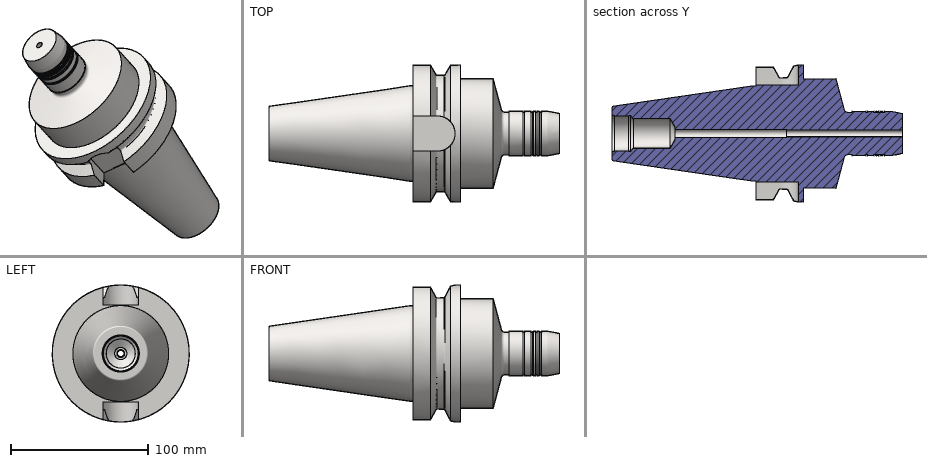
import cadquery as cq
import math

total_length = 211.8
taper_length = 103.0
taper_slope = 7 / 48
gauge_radius = 35.0
small_end_radius = gauge_radius - taper_length * taper_slope
small_end_fillet = 1.0

flange_start = 104.8
flange_end = 139.8
flange_radius = 50.0
groove_floor_radius = 42.5
groove_start = 117.8
groove_end = 132.4
groove_wall_angle = math.radians(60)
groove_wall_run = (flange_radius - groove_floor_radius) / math.tan(groove_wall_angle)
groove_fillet = 0.8
groove_fillet_tangent = groove_fillet * math.tan(groove_wall_angle / 2)
groove_fillet_run = groove_fillet_tangent * math.cos(groove_wall_angle)
groove_fillet_top_radius = groove_floor_radius + groove_fillet_tangent * math.sin(groove_wall_angle)

slot_width = 25.6
slot_floor_height = 35.4
slot_arc_center = 122.8

shank_radius = 16.3
neck_radius = 15.7
neck_start = 171.8
land_start = 175.0
relief_start = 185.1
relief_end = 186.4
ring_seat_start = 190.8
ring_seat_end = 198.7
tip_start = 203.1
tip_radius = 14.6
tip_middle_radius = 15.57

nose_radius = 40.0
nose_cone_angle = math.radians(75)
neck_fillet = 2.3
nose_cone_end = neck_start - neck_fillet * math.sin(nose_cone_angle)
nose_cone_end_radius = neck_radius + neck_fillet * (1 - math.cos(nose_cone_angle))
nose_cone_start = nose_cone_end - (nose_radius - nose_cone_end_radius) / math.tan(nose_cone_angle)

ring_gap = 1.3
ring_chamfer_length = 0.6
ring_chamfer_depth = 0.5
ring_seat_middle = (ring_seat_start + ring_seat_end) / 2

bore_mouth_radius = 13.5
bore_mouth_chamfer = 1.7
bore_radius = 12.7
relief_groove_radius = 13.0
relief_groove_start = 12.0
relief_groove_end = 13.5
thread_radius = 10.5
thread_start = relief_groove_end + bore_radius - thread_radius
thread_end = 42.4
bore_bottom_radius = 4.5
bore_cone_end = thread_end + (thread_radius - bore_bottom_radius) * math.tan(math.radians(30))
channel_radius = 2.85
outlet_radius = 2.3
channel_end = 127.0


def turned(outline):
    """Solid of revolution about the X axis."""
    return outline.close().revolve(360, (0, 0, 0), (1, 0, 0))


def arbor_blank():
    tip_middle = (tip_start + total_length) / 2
    floor_start = groove_start + groove_wall_run
    floor_end = groove_end - groove_wall_run
    outline = (
        cq.Workplane("XZ")
        .lineTo(0, small_end_radius)
        .lineTo(taper_length, gauge_radius)
        .lineTo(flange_start, gauge_radius)
        .lineTo(flange_start, flange_radius)
        .lineTo(groove_start, flange_radius)
        .lineTo(floor_start - groove_fillet_run, groove_fillet_top_radius)
        .tangentArcPoint((floor_start + groove_fillet_tangent, groove_floor_radius), relative=False)
        .lineTo(floor_end - groove_fillet_tangent, groove_floor_radius)
        .tangentArcPoint((floor_end + groove_fillet_run, groove_fillet_top_radius), relative=False)
        .lineTo(groove_end, flange_radius)
        .lineTo(flange_end, flange_radius)
        .lineTo(flange_end, nose_radius)
        .lineTo(nose_cone_start, nose_radius)
        .lineTo(nose_cone_end, nose_cone_end_radius)
        .tangentArcPoint((neck_start, neck_radius), relative=False)
        .lineTo(land_start, neck_radius)
        .lineTo(land_start, shank_radius)
        .lineTo(relief_start, shank_radius)
        .lineTo(relief_start, neck_radius)
        .lineTo(relief_end, neck_radius)
        .lineTo(relief_end, shank_radius)
        .lineTo(ring_seat_start, shank_radius)
        .lineTo(ring_seat_start, neck_radius)
        .lineTo(ring_seat_end, neck_radius)
        .lineTo(ring_seat_end, shank_radius)
        .lineTo(tip_start, shank_radius)
        .threePointArc((tip_middle, tip_middle_radius), (total_length, tip_radius))
        .lineTo(total_length, 0)
    )
    return turned(outline).faces("<X").edges().fillet(small_end_fillet)


def bore_cut():
    outline = (
        cq.Workplane("XZ")
        .lineTo(0, bore_mouth_radius)
        .lineTo(bore_mouth_chamfer, bore_radius)
        .lineTo(relief_groove_start, bore_radius)
        .lineTo(relief_groove_start, relief_groove_radius)
        .lineTo(relief_groove_end, relief_groove_radius)
        .lineTo(relief_groove_end, bore_radius)
        .lineTo(thread_start, thread_radius)
        .lineTo(thread_end, thread_radius)
        .lineTo(bore_cone_end, bore_bottom_radius)
        .lineTo(bore_cone_end, channel_radius)
        .lineTo(channel_end, channel_radius)
        .lineTo(channel_end, outlet_radius)
        .lineTo(total_length, outlet_radius)
        .lineTo(total_length, 0)
    )
    return turned(outline)


def drive_slot(side):
    """Round-ended slot through the flange face; side is +1 for the top and -1 for the bottom."""
    depth = flange_radius - slot_floor_height
    middle_height = side * (slot_floor_height + depth / 2)
    straight_length = slot_arc_center - flange_start
    straight = cq.Workplane("XY").box(straight_length, slot_width, depth)
    straight = straight.translate((flange_start + straight_length / 2, 0, middle_height))
    round_end = cq.Workplane("XY").cylinder(depth, slot_width / 2)
    return straight.union(round_end.translate((slot_arc_center, 0, middle_height)))


def build_arbor():
    arbor = arbor_blank().cut(bore_cut())
    for side in (1, -1):
        arbor = arbor.cut(drive_slot(side))
    return arbor


def build_seal_ring(side):
    """Ring on the seat floor with its outward edge chamfered; side is -1 or +1 along X."""
    inner_face = ring_seat_middle + side * ring_gap / 2
    seat_wall = ring_seat_end if side > 0 else ring_seat_start
    outer_face = seat_wall - side * ring_gap
    outline = (
        cq.Workplane("XZ")
        .moveTo(inner_face, neck_radius)
        .lineTo(inner_face, shank_radius)
        .lineTo(outer_face - side * ring_chamfer_length, shank_radius)
        .lineTo(outer_face, shank_radius - ring_chamfer_depth)
        .lineTo(outer_face, neck_radius)
    )
    return turned(outline)


arbor = build_arbor()
seal_rings = [build_seal_ring(side) for side in (-1, 1)]

result = cq.Compound.makeCompound([arbor.val(), *[ring.val() for ring in seal_rings]])